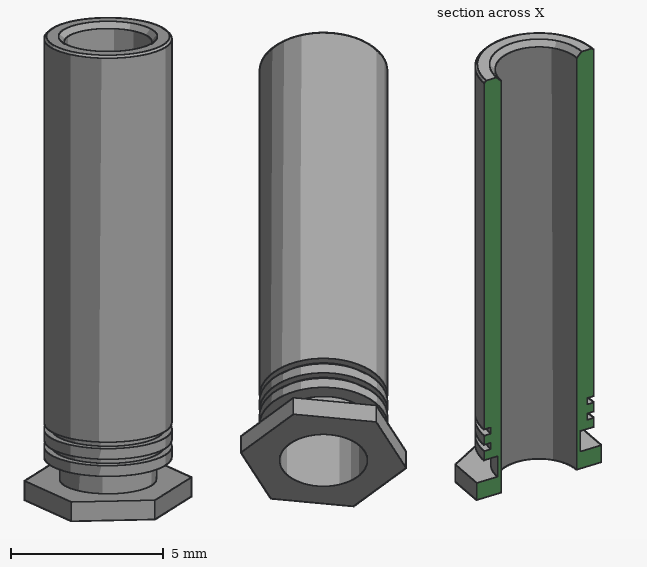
import cadquery as cq
import math

total_height = 15.88
hex_across_flats = 4.75
hex_thickness = 0.67
barrel_diameter = 4.2
neck_diameter = 3.18
neck_top = 1.43
groove_diameter = 3.68
groove_width = 0.22
lower_groove_bottom = 1.8
groove_pitch = 0.59
rim_chamfer = 0.08
bore_diameter = 2.87
bore_mouth_diameter = 3.24
bore_mouth_depth = 0.19


def cylinder(diameter, bottom, top):
    """Cylinder about the Z axis between two heights."""
    return cq.Workplane("XY").workplane(offset=bottom).circle(diameter / 2).extrude(top - bottom)


def ring_groove(bottom):
    """Square-sided ring that cuts the barrel down to the groove diameter."""
    top = bottom + groove_width
    return cylinder(barrel_diameter, bottom, top).cut(cylinder(groove_diameter, bottom, top))


hex_across_corners = hex_across_flats / math.cos(math.pi / 6)
foot = cq.Workplane("XY").polygon(6, hex_across_corners).extrude(hex_thickness)

neck = cylinder(neck_diameter, hex_thickness, neck_top)
barrel = cylinder(barrel_diameter, neck_top, total_height).faces(">Z").chamfer(rim_chamfer)
body = foot.union(neck).union(barrel)

for index in range(2):
    body = body.cut(ring_groove(lower_groove_bottom + index * groove_pitch))

body = body.cut(cylinder(bore_diameter, 0, total_height))
bore_mouth = (
    cq.Workplane("XY")
    .workplane(offset=total_height)
    .circle(bore_mouth_diameter / 2)
    .workplane(offset=-bore_mouth_depth)
    .circle(bore_diameter / 2)
    .loft()
)
result = body.cut(bore_mouth)